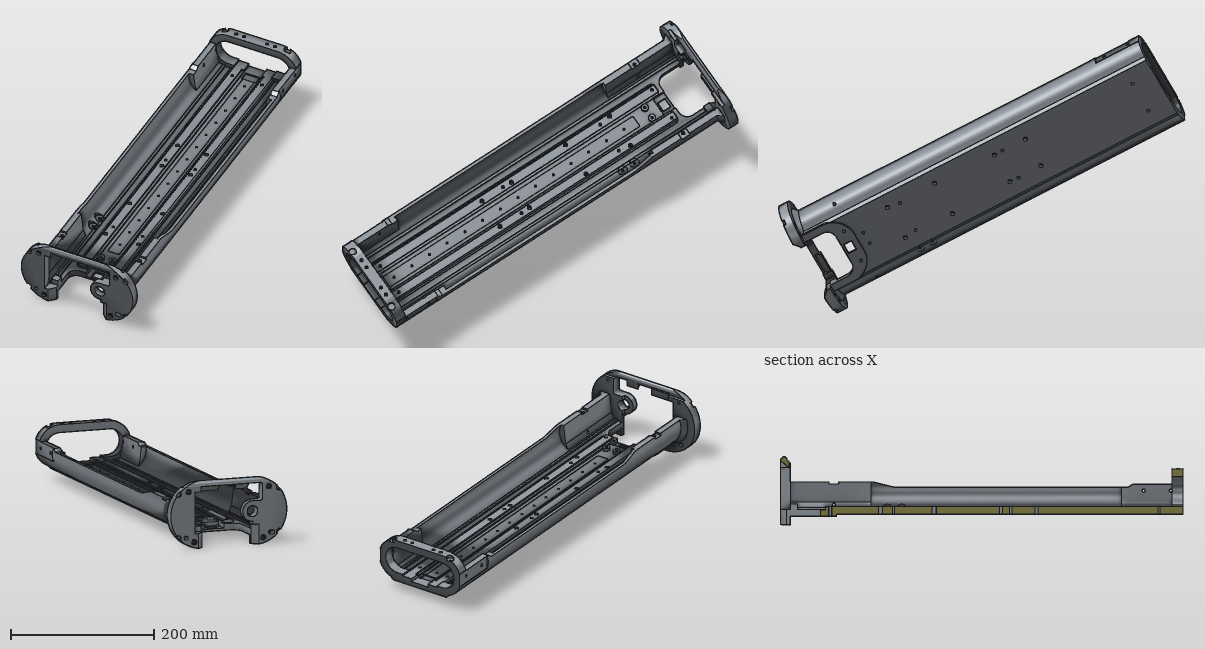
import cadquery as cq
import math

LENGTH = 562.0
FLANGE_WIDTH = 174.0
FLANGE_HEIGHT = 95.5
FLANGE_THICK = 14.0
FLANGE_TOP = FLANGE_HEIGHT / 2
FLANGE_SIDE_X = FLANGE_WIDTH / 2 - FLANGE_TOP

TUBE_WIDTH = 138.0
TUBE_HEIGHT = 62.0
TUBE_WALL = 4.5
TUBE_RADIUS = TUBE_HEIGHT / 2
FLOOR_Z = -(TUBE_RADIUS - TUBE_WALL)
BOTTOM_Z = -33.0
BOTTOM_EDGE_Z = -28.5
BOTTOM_HALF_WIDTH = 45.0

FRONT_WALL_Z = 12.5
MIDDLE_WALL_Z = 5.0
REAR_WALL_Z = 9.0
FRONT_RAMP_Y = (129.0, 158.5)
REAR_RAMP_Y = (485.0, 491.5)

RING_THICK = 16.0
RING_FRONT_Y = LENGTH - RING_THICK
RING_WALL = 11.0
RING_FLAT_X = 67.0
RING_FLAT_LENGTH = 68.0
RING_FLAT_Z = (-10.0, 10.0)

PAD_TOP_Z = -22.0
PAD_FRONT_Y = 63.0
PAD_INNER_X = 14.0
PAD_OUTER_X = 33.5
PAD_SHELF_Z = -24.0
PAD_TOP_INNER_X = 17.5
PAD_TOP_OUTER_X = 29.0
PAD_CORNER = 5.5

CUTOUT_HALF_WIDTH = 36.5
CUTOUT_END_Y = 56.0
CUTOUT_CORNER = 14.0

CLEAR = 56.0
SIDES = (-1, 1)


def box(x0, x1, y0, y1, z0, z1):
    """Box between two opposite corners."""
    return cq.Workplane("XY").box(x1 - x0, y1 - y0, z1 - z0, centered=False).translate((x0, y0, z0))


def side_box(side, x0, x1, y0, y1, z0, z1):
    """Box between distances x0 and x1 from the middle plane, on one side of it."""
    near, far = sorted((side * x0, side * x1))
    return box(near, far, y0, y1, z0, z1)


def stadium(width, height, y0, y1, taper=0):
    """Lengthwise bar with round sides, centred on the Y axis."""
    plane = cq.Workplane("XZ", origin=(0, y0, 0))
    return plane.slot2D(width, height).extrude(-(y1 - y0), taper=taper)


def along_y(points, y0, y1):
    """Polygon of (x, z) points extruded from y0 to y1."""
    return cq.Workplane("XZ", origin=(0, y0, 0)).polyline(points).close().extrude(-(y1 - y0))


def along_x(points, half_width):
    """Polygon of (y, z) points extruded to both sides of the middle plane."""
    return cq.Workplane("YZ").polyline(points).close().extrude(half_width, both=True)


def pin_x(y, z, radius, x0, x1):
    return cq.Workplane("YZ", origin=(x0, y, z)).circle(radius).extrude(x1 - x0)


def pin_y(x, z, radius, y0, y1):
    return cq.Workplane("XZ", origin=(x, y0, z)).circle(radius).extrude(-(y1 - y0))


def pin_z(x, y, radius, z0, z1):
    return cq.Workplane("XY", origin=(x, y, z0)).circle(radius).extrude(z1 - z0)


def trough_outside():
    """Full stadium bar with the slope-sided plate along its underside."""
    slope = BOTTOM_EDGE_Z - BOTTOM_Z
    edge_x = BOTTOM_HALF_WIDTH + slope
    plate = along_y(
        [
            (-edge_x, BOTTOM_EDGE_Z),
            (-BOTTOM_HALF_WIDTH, BOTTOM_Z),
            (BOTTOM_HALF_WIDTH, BOTTOM_Z),
            (edge_x, BOTTOM_EDGE_Z),
        ],
        FLANGE_THICK,
        LENGTH,
    )
    return stadium(TUBE_WIDTH, TUBE_HEIGHT, FLANGE_THICK, LENGTH).union(plate)


def fairing():
    """Collar that flares from the trough to the back of the flange."""
    flare = 6.0
    flare_length = 8.0
    angle = math.degrees(math.atan(flare / flare_length))
    return stadium(
        TUBE_WIDTH + 2 * flare, TUBE_HEIGHT + flare, FLANGE_THICK, FLANGE_THICK + flare_length, angle
    )


def above_walls():
    """Everything above the upper edge of the side walls, in front of the rear ring."""
    ramp_front, ramp_end = FRONT_RAMP_Y
    step_front, step_end = REAR_RAMP_Y
    return along_x(
        [
            (0, CLEAR),
            (0, FRONT_WALL_Z),
            (ramp_front, FRONT_WALL_Z),
            (ramp_end, MIDDLE_WALL_Z),
            (step_front, MIDDLE_WALL_Z),
            (step_end, REAR_WALL_Z),
            (RING_FRONT_Y, REAR_WALL_Z),
            (RING_FRONT_Y, CLEAR),
        ],
        FLANGE_WIDTH,
    )


def wall_stretch(side, top_x, foot_x, y0, y1, top_z):
    """Part of a side wall thickened to a nearly upright flat inner face above a sloping foot."""
    half_width = TUBE_WIDTH / 2
    draft = 3.5
    foot_top_z = -16.0
    return along_y(
        [
            (side * half_width, FLOOR_Z),
            (side * foot_x, FLOOR_Z),
            (side * (top_x - draft), foot_top_z),
            (side * top_x, top_z),
            (side * half_width, top_z),
        ],
        y0,
        y1,
    )


def thick_walls():
    """Flat-faced thick stretches inside the side walls, at the front and the rear."""
    front_top_x = 57.5
    rear_top_x = 58.0
    front_foot_x = 48.5
    rear_foot_x = 51.5
    front_end_y = 126.5
    rear_start_y = 476.0
    walls = cq.Workplane("XY")
    for side in SIDES:
        walls = walls.add(
            wall_stretch(side, front_top_x, front_foot_x, FLANGE_THICK, front_end_y, FRONT_WALL_Z)
        )
        walls = walls.add(
            wall_stretch(side, rear_top_x, rear_foot_x, rear_start_y, RING_FRONT_Y, REAR_WALL_Z)
        )
    return walls.combine().intersect(stadium(TUBE_WIDTH, TUBE_HEIGHT, 0, LENGTH))


def ring_opening():
    """Hole of the rear ring, lowered to the rail pads and to the channel."""
    opening = stadium(TUBE_WIDTH - 2 * RING_WALL, TUBE_HEIGHT - 2 * RING_WALL, RING_FRONT_Y, LENGTH)
    pads = box(-PAD_TOP_OUTER_X, PAD_TOP_OUTER_X, RING_FRONT_Y, LENGTH, PAD_TOP_Z, 0)
    channel = box(-PAD_INNER_X, PAD_INNER_X, RING_FRONT_Y, LENGTH, FLOOR_Z, 0)
    return opening.union(pads).union(channel)


def rail_pad():
    """Raised seat on the +X side of the channel, with stepped flanks and a rounded front end."""
    shelf_x = (PAD_TOP_OUTER_X + PAD_OUTER_X) / 2
    section = along_y(
        [
            (PAD_INNER_X, FLOOR_Z),
            (PAD_INNER_X, PAD_SHELF_Z),
            (PAD_TOP_INNER_X, PAD_SHELF_Z),
            (PAD_TOP_INNER_X, PAD_TOP_Z),
            (PAD_TOP_OUTER_X, PAD_TOP_Z),
            (shelf_x, PAD_SHELF_Z),
            (PAD_OUTER_X, PAD_SHELF_Z),
            (PAD_OUTER_X, FLOOR_Z),
        ],
        PAD_FRONT_Y,
        RING_FRONT_Y,
    )
    outline = box(PAD_INNER_X, PAD_OUTER_X, PAD_FRONT_Y, RING_FRONT_Y, FLOOR_Z, PAD_TOP_Z)
    return section.intersect(outline.edges("|Z and <Y").fillet(PAD_CORNER))


def floor_ribs():
    """Low lengthwise rib on each side of the floor, outside the rail pads."""
    rib_inner_x = 42.5
    rib_outer_x = 46.5
    rib_top_z = -23.5
    ribs = cq.Workplane("XY")
    for side in SIDES:
        rib = side_box(side, rib_inner_x, rib_outer_x, FLANGE_THICK, RING_FRONT_Y, FLOOR_Z, rib_top_z)
        ribs = ribs.add(rib)
    return ribs.combine()


def floor_block():
    """Small block on the floor behind the left half of the flange."""
    outer_x = 47.0
    end_y = 24.0
    top_z = -18.5
    return box(-outer_x, -CUTOUT_HALF_WIDTH, FLANGE_THICK, end_y, FLOOR_Z, top_z)


def under_pad():
    """Stiffening pad below the front of the trough."""
    half_width = 47.0
    bottom_z = -36.0
    end_y = 80.5
    corner = 33.0
    pad = box(-half_width, half_width, FLANGE_THICK, end_y, bottom_z, BOTTOM_EDGE_Z)
    return pad.edges("|Z and >Y").fillet(corner)


def floor_cutout():
    """Round-cornered opening through the floor behind the flange."""
    tool = box(-CUTOUT_HALF_WIDTH, CUTOUT_HALF_WIDTH, 0, CUTOUT_END_Y, -CLEAR, 0)
    return tool.edges("|Z and >Y").fillet(CUTOUT_CORNER)


def cable_step():
    """Lowered step behind the cut-out, with a square hole through it."""
    half_width = 14.5
    step_end_y = 75.5
    step_z = -32.5
    hole_half = 7.5
    hole_front_y = 59.5
    hole_end_y = 72.0
    step = box(-half_width, half_width, CUTOUT_END_Y, step_end_y, step_z, 0)
    hole = box(-hole_half, hole_half, hole_front_y, hole_end_y, -CLEAR, 0)
    return step.union(hole)


LIP_OUTER_X = 45.5
LIP_TOP_LEFT_Z = -26.5
LIP_TOP_RIGHT_Z = -19.0
BAR_BOTTOM_Z = 40.0
BAR_THICK = 9.5
WINDOW_SHOULDER_X = 41.5
LOBE_X = 35.5
LOBE_RADIUS = 14.5
LOBE_BORE_RADIUS = 8.0


def flange_blank():
    """Stadium plate, thinner and rounded along its top."""
    blank = stadium(FLANGE_WIDTH, FLANGE_HEIGHT, 0, FLANGE_THICK)
    back_radius = BAR_THICK / 2
    back_z = FLANGE_TOP - back_radius
    diagonal = back_radius * math.sqrt(0.5)
    nose_z = BAR_BOTTOM_Z + 0.5
    nose_middle = (1.0, 44.5)
    step_z = 39.0
    profile = (
        cq.Workplane("YZ")
        .moveTo(0, -FLANGE_TOP)
        .lineTo(0, nose_z)
        .threePointArc(nose_middle, (back_radius, FLANGE_TOP))
        .threePointArc((back_radius + diagonal, back_z + diagonal), (BAR_THICK, back_z))
        .lineTo(BAR_THICK, step_z)
        .lineTo(FLANGE_THICK, step_z)
        .lineTo(FLANGE_THICK, -FLANGE_TOP)
        .close()
        .extrude(FLANGE_WIDTH, both=True)
    )
    return blank.intersect(profile)


def flange_window():
    """Opening between the bar, the two cheeks and the lobe, open at the bottom."""
    cheek_x = 50.5
    shoulder_z = 32.5
    corner = 3.5
    window = along_y(
        [
            (-cheek_x, LIP_TOP_LEFT_Z),
            (-cheek_x, shoulder_z),
            (-WINDOW_SHOULDER_X, shoulder_z),
            (-WINDOW_SHOULDER_X, BAR_BOTTOM_Z),
            (cheek_x, BAR_BOTTOM_Z),
            (cheek_x, LOBE_RADIUS),
            (LOBE_X, LOBE_RADIUS),
            (LOBE_X, -LOBE_RADIUS),
            (CUTOUT_HALF_WIDTH, -LOBE_RADIUS),
            (CUTOUT_HALF_WIDTH, -CLEAR),
            (-CUTOUT_HALF_WIDTH, -CLEAR),
            (-CUTOUT_HALF_WIDTH, LIP_TOP_LEFT_Z),
        ],
        0,
        FLANGE_THICK,
    )
    right_corners = cq.selectors.BoxSelector((cheek_x - 5.5, -5.5, 0), (cheek_x + 5.5, CLEAR, CLEAR))
    window = window.edges("|Y").edges(right_corners).fillet(corner)
    return window.cut(pin_y(LOBE_X, 0, LOBE_RADIUS, 0, FLANGE_THICK))


def jaw_slants():
    """Slanted front faces on both sides of the lower gap."""
    depth = LIP_OUTER_X - CUTOUT_HALF_WIDTH
    slants = cq.Workplane("XY")
    for side, top_z in zip(SIDES, (LIP_TOP_LEFT_Z, LIP_TOP_RIGHT_Z)):
        outer_x = side * LIP_OUTER_X
        inner_x = side * CUTOUT_HALF_WIDTH
        wedge = (
            cq.Workplane("XY", origin=(0, 0, -CLEAR))
            .polyline([(outer_x, 0), (inner_x, depth), (inner_x, 0)])
            .close()
            .extrude(top_z + CLEAR)
        )
        slants = slants.add(wedge)
    return slants.combine()


def bar_haunch(inner_x, outer_x, back_y):
    """Web under the bar with an underside that slopes down towards its back."""
    bottom_z = 31.5
    root_y = 1.0
    root_z = BAR_BOTTOM_Z + 1.5
    web = (
        cq.Workplane("YZ", origin=(inner_x, 0, 0))
        .polyline([(root_y, root_z), (back_y, root_z), (back_y, bottom_z)])
        .close()
    )
    return web.extrude(outer_x - inner_x)


def bar_haunches():
    """One web on each side of the clear middle of the bar; the left one is thicker."""
    inner_x = 12.5
    right_outer_x = 31.0
    left_back_y = 12.5
    left = bar_haunch(-WINDOW_SHOULDER_X, -inner_x, left_back_y)
    right = bar_haunch(inner_x, right_outer_x, BAR_THICK)
    return left.union(right)


def lobe_relief():
    """Thins the free half of the lobe from the back."""
    lobe_thick = 9.0
    free_x = LOBE_X - LOBE_RADIUS
    return box(free_x, LOBE_X, lobe_thick, FLANGE_THICK, -LOBE_RADIUS, LOBE_RADIUS)


def flange_holes():
    """Lobe bore, dowel hole and dowel slot, and counterbored screw holes."""
    counterbore_depth = 3.5
    screw_radius = 1.95
    head_radius = 3.65
    dowel_radius = 3.0
    dowel_x = 64.0
    dowel_z = -31.5
    slot_length = 9.0
    screw_positions = ((60.0, 33.5), (51.5, -38.0))
    holes = pin_y(LOBE_X, 0, LOBE_BORE_RADIUS, 0, FLANGE_THICK)
    holes = holes.union(pin_y(-dowel_x, dowel_z, dowel_radius, 0, FLANGE_THICK))
    slot = cq.Workplane("XZ").center(dowel_x, dowel_z).slot2D(slot_length, 2 * dowel_radius)
    holes = holes.union(slot.extrude(-FLANGE_THICK))
    for x, z in screw_positions:
        for side in SIDES:
            holes = holes.union(pin_y(side * x, z, screw_radius, 0, FLANGE_THICK))
            holes = holes.union(pin_y(side * x, z, head_radius, 0, counterbore_depth))
    return holes


def rim_notches():
    """Round notches in the front edge of the flange rim, two on each round end."""
    notch_radius = 4.0
    notch_depth = 3.5
    notch_angle = 41.0
    notches = cq.Workplane("XY")
    for side in SIDES:
        for level in SIDES:
            x = side * (FLANGE_SIDE_X + FLANGE_TOP * math.cos(math.radians(notch_angle)))
            z = level * FLANGE_TOP * math.sin(math.radians(notch_angle))
            notches = notches.add(pin_y(x, z, notch_radius, 0, notch_depth))
    return notches.combine()


def floor_holes():
    """Through holes in the rail pads, mirrored about the middle plane: (x, y, radius)."""
    small = 1.95
    large = 3.0
    pattern = (
        (25.0, 69.5, small),
        (26.0, 140.0, large),
        (23.0, 158.0, small),
        (26.0, 214.5, large),
        (22.5, 308.0, large),
        (23.0, 321.5, small),
        (22.5, 357.5, large),
        (23.0, 528.0, small),
    )
    holes = cq.Workplane("XY")
    for x, y, radius in pattern:
        for side in SIDES:
            holes = holes.add(pin_z(side * x, y, radius, -CLEAR, 0))
    return holes.combine()


def channel_recess():
    """Shallow recess along the channel, with a row of blind holes and a deeper rear end."""
    half_width = 9.0
    front_y = 112.5
    rear_y = 533.0
    depth = 0.5
    rear_half_width = 11.0
    rear_depth = 2.0
    hole_count = 14
    hole_pitch = 30.0
    first_hole_y = 133.0
    hole_radius = 1.4
    hole_depth = 4.5
    corner = 2.0
    recess = box(-half_width, half_width, front_y, rear_y, FLOOR_Z - depth, 0)
    recess = recess.edges("|Z and <Y").fillet(corner)
    recess = recess.union(
        box(-rear_half_width, rear_half_width, rear_y, RING_FRONT_Y, FLOOR_Z - rear_depth, 0)
    )
    for index in range(hole_count):
        y = first_hole_y + index * hole_pitch
        recess = recess.union(pin_z(0, y, hole_radius, FLOOR_Z - hole_depth, 0))
    return recess


def add_channel_bosses(body):
    """Adds two bored bosses at the front end of the channel."""
    boss_x = 9.0
    boss_y = 92.0
    boss_radius = 5.0
    bore_radius = 1.5
    for side in SIDES:
        body = body.union(pin_z(side * boss_x, boss_y, boss_radius, FLOOR_Z, PAD_TOP_Z))
        body = body.cut(pin_z(side * boss_x, boss_y, bore_radius, -CLEAR, 0))
    return body


def wall_screw_seats():
    """Two vertical spot-faced holes low in the left wall."""
    x = -50.0
    seat_z = -25.0
    seat_radius = 7.0
    bore_radius = 1.5
    seat_y = (149.5, 169.0)
    seats = cq.Workplane("XY")
    for y in seat_y:
        seats = seats.add(pin_z(x, y, seat_radius, seat_z, 0))
        seats = seats.add(pin_z(x, y, bore_radius, -CLEAR, seat_z))
    return seats.combine()


def wall_cuts():
    """Flats beside the rear ring, notches in the front walls and cross holes."""
    notch_front_y = 68.0
    notch_end_y = 81.5
    notch_depth = 3.0
    notch_inner_x = 50.5
    notch_hole_x = 60.5
    notch_hole_radius = 2.0
    notch_hole_depth = 8.5
    notch_y = (notch_front_y + notch_end_y) / 2
    notch_z = FRONT_WALL_Z - notch_depth
    flat_bottom, flat_top = RING_FLAT_Z
    screw_radius = 1.95
    low_hole_z = -19.5
    flat_front_y = LENGTH - RING_FLAT_LENGTH
    cuts = cq.Workplane("XY")
    for side in SIDES:
        cuts = cuts.add(
            side_box(side, RING_FLAT_X, FLANGE_WIDTH, flat_front_y, LENGTH, flat_bottom, flat_top)
        )
        cuts = cuts.add(
            side_box(side, notch_inner_x, FLANGE_WIDTH, notch_front_y, notch_end_y, notch_z, CLEAR)
        )
        cuts = cuts.add(
            pin_z(side * notch_hole_x, notch_y, notch_hole_radius, notch_z - notch_hole_depth, notch_z)
        )
    half = FLANGE_WIDTH / 2
    cross_holes = ((507.0, 0), (544.5, 0), (notch_y, low_hole_z))
    for y, z in cross_holes:
        cuts = cuts.add(pin_x(y, z, screw_radius, -half, half))
    return cuts.combine()


def ring_top_holes():
    """Screw holes in the top of the rear ring: (x, y, radius, bottom z)."""
    pattern = (
        (18.0, 554.5, 1.95, 25.5),
        (30.5, 554.5, 2.0, 25.5),
        (48.5, 557.5, 5.0, 26.0),
    )
    holes = cq.Workplane("XY")
    for x, y, radius, bottom_z in pattern:
        for side in SIDES:
            holes = holes.add(pin_z(side * x, y, radius, bottom_z, CLEAR))
    return holes.combine()


pad = rail_pad()
trough_inside = stadium(TUBE_WIDTH - 2 * TUBE_WALL, TUBE_HEIGHT - 2 * TUBE_WALL, 0, RING_FRONT_Y)

trough = trough_outside().union(fairing()).union(under_pad()).cut(trough_inside)
trough = trough.union(thick_walls()).cut(above_walls()).cut(ring_opening())
trough = trough.union(pad).union(pad.mirror("YZ")).union(floor_ribs()).union(floor_block())
trough = trough.cut(floor_cutout()).cut(cable_step()).cut(channel_recess())
trough = add_channel_bosses(trough)
trough = trough.cut(floor_holes()).cut(wall_screw_seats()).cut(wall_cuts()).cut(ring_top_holes())

flange = flange_blank().cut(flange_window()).cut(jaw_slants()).cut(lobe_relief()).union(bar_haunches())
flange = flange.cut(flange_holes()).cut(rim_notches())

result = trough.union(flange)